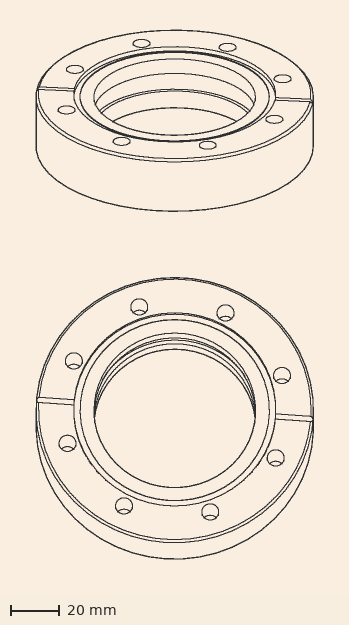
import cadquery as cq
import math

outer_radius = 56.8
height = 24.0
rim_chamfer = 1.0

bore_radius = 33.0
relief_radius = 34.6
relief_top_depth = 8.0
relief_bottom_depth = 16.1

recess_radius = 41.3
ridge_radius = 38.7
seat_depth = 1.2
ridge_depth = 0.9
recess_depth = 1.9

hole_count = 8
hole_circle_radius = 46.2
hole_radius = 3.46
hole_depth = 15.9
drill_point_angle = 118.0

leak_groove_radius = 1.1
leak_groove_rise = 0.2
leak_groove_angle = 22.5


def flange_body():
    """Revolve the ring section, including the bore, relief and sealing recess."""
    section = [
        (bore_radius, 0),
        (outer_radius, 0),
        (outer_radius, height - rim_chamfer),
        (outer_radius - rim_chamfer, height),
        (recess_radius, height),
        (recess_radius, height - recess_depth),
        (ridge_radius, height - ridge_depth),
        (ridge_radius, height - seat_depth),
        (bore_radius, height - seat_depth),
        (bore_radius, height - relief_top_depth),
        (relief_radius, height - relief_top_depth),
        (relief_radius, height - relief_bottom_depth),
        (bore_radius, height - relief_bottom_depth),
    ]
    return cq.Workplane("XZ").polyline(section).close().revolve(360, (0, 0), (0, 1))


def bolt_hole_cutters():
    """Drilled holes with conical ends, spaced evenly around the bolt circle."""
    point_depth = hole_radius / math.tan(math.radians(drill_point_angle / 2))
    drill = (
        cq.Workplane("XZ")
        .moveTo(0, height)
        .lineTo(hole_radius, height)
        .lineTo(hole_radius, height - hole_depth)
        .lineTo(0, height - hole_depth - point_depth)
        .close()
        .revolve(360, (0, 0), (0, 1))
        .val()
    )
    return (
        cq.Workplane("XY")
        .polarArray(hole_circle_radius, 0, 360, hole_count)
        .eachpoint(lambda location: drill.moved(location))
    )


def leak_groove_cutter(angle):
    """Cylinder with its axis just above the top face, from the recess wall past the outer rim."""
    start = (ridge_radius + recess_radius) / 2
    return (
        cq.Workplane("YZ", origin=(start, 0, height + leak_groove_rise))
        .circle(leak_groove_radius)
        .extrude(outer_radius - start + leak_groove_radius)
        .rotate((0, 0, 0), (0, 0, 1), angle)
    )


result = flange_body().cut(bolt_hole_cutters())
for angle in (leak_groove_angle, leak_groove_angle + 180):
    result = result.cut(leak_groove_cutter(angle))